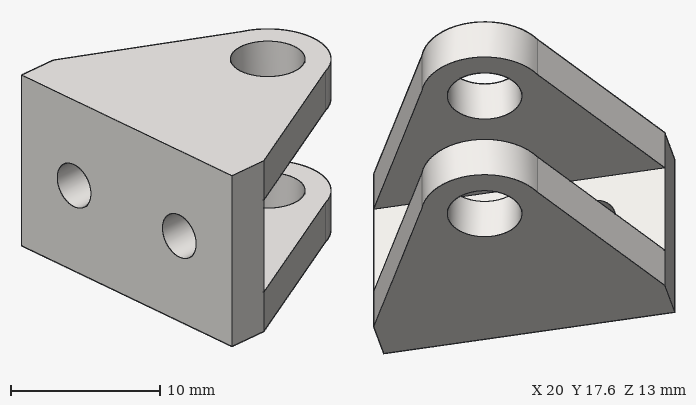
import cadquery as cq
import math

width = 20.0
depth = 17.55
height = 13.0
wall = 3.0

end_radius = 4.25
pin_diameter = 5.0
pin_y = depth - end_radius
shoulder_y = 14.78
shoulder_x = math.sqrt(end_radius**2 - (shoulder_y - pin_y) ** 2)

mount_diameter = 3.2
mount_spacing = width / 2

body = (
    cq.Workplane("XY")
    .moveTo(-width / 2, 0)
    .lineTo(width / 2, 0)
    .lineTo(width / 2, wall)
    .lineTo(shoulder_x, shoulder_y)
    .threePointArc((0, depth), (-shoulder_x, shoulder_y))
    .lineTo(-width / 2, wall)
    .close()
    .extrude(height)
)

gap = cq.Workplane("XY").box(width, depth - wall, height - 2 * wall, centered=(True, False, False))
gap = gap.translate((0, wall, wall))

pin_hole = cq.Workplane("XY").center(0, pin_y).circle(pin_diameter / 2).extrude(height)

mount_holes = (
    cq.Workplane("XZ")
    .pushPoints([(side * mount_spacing / 2, height / 2) for side in (-1, 1)])
    .circle(mount_diameter / 2)
    .extrude(-wall)
)

result = body.cut(gap).cut(pin_hole).cut(mount_holes)